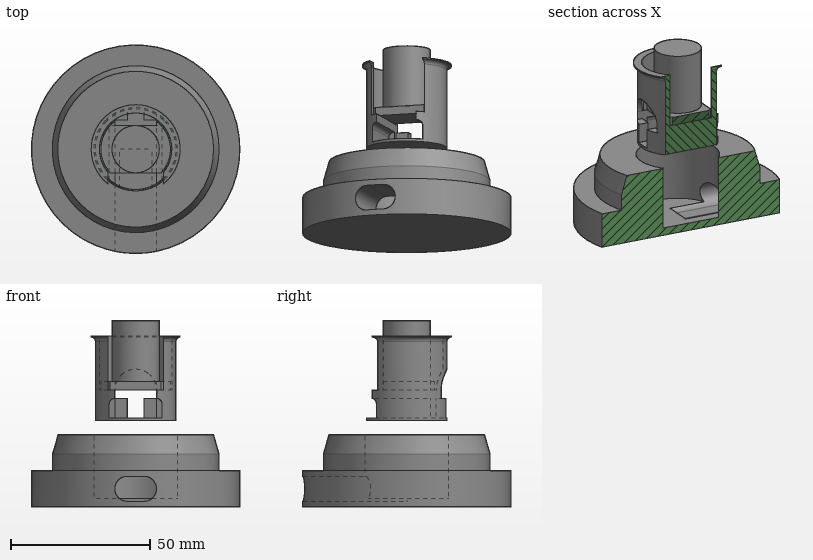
import cadquery as cq

BASE_DIA = 75.0
BASE_FLANGE_TOP = 13.0
COLLAR_DIA = 60.0
COLLAR_TOP = 19.0
CONE_TOP_DIA = 56.0
BASE_TOP = 26.0
WELL_DIA = 30.0
WELL_FLOOR = 3.0
SIDE_SLOT_WIDTH = 15.0
SIDE_SLOT_HEIGHT = 9.0
SIDE_SLOT_Z = BASE_FLANGE_TOP / 2

CUP_BOTTOM = 31.0
CUP_TOP = 61.5
CUP_DIA = 29.0
CUP_BORE_DIA = 26.0
CUP_FLOOR_THICKNESS = 1.0
CUP_FLOOR_TOP = CUP_BOTTOM + CUP_FLOOR_THICKNESS
SHELF_HEIGHT = 10.0
SHELF_TOP = CUP_FLOOR_TOP + SHELF_HEIGHT
LIP_DIA = 32.0
LIP_THICKNESS = 0.5
LIP_FILLET = (LIP_DIA - CUP_DIA) / 2

FRONT_SLOT_WIDTH = 20.0
CHANNEL_WIDTH = 15.0
CHANNEL_BACK_Y = 10.5
UNDERCUT_WIDTH = 19.0
UNDERCUT_HEIGHT = 7.0
UNDERCUT_TOP = CUP_FLOOR_TOP + UNDERCUT_HEIGHT
UNDERCUT_RADIUS = 2.0
UNDERCUT_BACK_Y = 8.5
BACK_SLOT_WIDTH = 6.0

BUTTON_DIA = 17.0
BUTTON_TOP = 67.0
PLATE_DIA = 25.0
PLATE_THICKNESS = 3.0
PLATE_FLAT_Y = BUTTON_DIA / 2

CUP_REACH = LIP_DIA
BASE_REACH = BASE_DIA


def block(width, y_min, y_max, z_min, z_max):
    """Box centred on X, given by its Y and Z limits."""
    return (
        cq.Workplane("XY", origin=(0, 0, z_min))
        .center(0, (y_min + y_max) / 2)
        .rect(width, y_max - y_min)
        .extrude(z_max - z_min)
    )


def cylinder(diameter, z_min, z_max):
    return cq.Workplane("XY", origin=(0, 0, z_min)).circle(diameter / 2).extrude(z_max - z_min)


def make_base():
    body = (
        cq.Workplane("XZ")
        .moveTo(0, 0)
        .lineTo(BASE_DIA / 2, 0)
        .lineTo(BASE_DIA / 2, BASE_FLANGE_TOP)
        .lineTo(COLLAR_DIA / 2, BASE_FLANGE_TOP)
        .lineTo(COLLAR_DIA / 2, COLLAR_TOP)
        .lineTo(CONE_TOP_DIA / 2, BASE_TOP)
        .lineTo(0, BASE_TOP)
        .close()
        .revolve(360, (0, 0, 0), (0, 1, 0))
    )
    well = cylinder(WELL_DIA, WELL_FLOOR, BASE_TOP)
    side_slot = (
        cq.Workplane("XZ", origin=(0, 0, SIDE_SLOT_Z))
        .slot2D(SIDE_SLOT_WIDTH, SIDE_SLOT_HEIGHT)
        .extrude(BASE_REACH)
    )
    return body.cut(well).cut(side_slot)


def flanged_cup_blank():
    """Cup of revolution: solid up to the shelf, bored above it, with a flared lip."""
    lip_underside = CUP_TOP - LIP_THICKNESS
    lip_start = lip_underside - LIP_FILLET
    blank = (
        cq.Workplane("XZ")
        .moveTo(0, CUP_BOTTOM)
        .lineTo(CUP_DIA / 2, CUP_BOTTOM)
        .lineTo(CUP_DIA / 2, lip_start)
        .radiusArc((LIP_DIA / 2, lip_underside), LIP_FILLET)
        .lineTo(LIP_DIA / 2, CUP_TOP)
        .lineTo(0, CUP_TOP)
        .close()
        .revolve(360, (0, 0, 0), (0, 1, 0))
    )
    return blank.cut(cylinder(CUP_BORE_DIA, SHELF_TOP, CUP_TOP))


def back_window():
    """Arched opening in the rear wall, with a narrow slot running down to the floor."""
    half_width = CHANNEL_WIDTH / 2
    arched_opening = (
        cq.Workplane("XZ")
        .moveTo(-half_width, UNDERCUT_TOP)
        .lineTo(half_width, UNDERCUT_TOP)
        .lineTo(half_width, SHELF_TOP)
        .threePointArc((0, SHELF_TOP + half_width), (-half_width, SHELF_TOP))
        .close()
        .extrude(-CUP_REACH)
    )
    slot = block(BACK_SLOT_WIDTH, 0, CUP_REACH, CUP_FLOOR_TOP, UNDERCUT_TOP)
    return arched_opening.union(slot)


def make_cup():
    front_slot = block(FRONT_SLOT_WIDTH, -CUP_REACH, 0, SHELF_TOP, CUP_TOP)
    channel = block(CHANNEL_WIDTH, -CUP_REACH, CHANNEL_BACK_Y, CUP_FLOOR_TOP, SHELF_TOP)
    undercut = (
        block(UNDERCUT_WIDTH, -CUP_REACH, UNDERCUT_BACK_Y, CUP_FLOOR_TOP, UNDERCUT_TOP)
        .edges("|Y and >Z")
        .fillet(UNDERCUT_RADIUS)
    )
    return flanged_cup_blank().cut(front_slot).cut(channel).cut(undercut).cut(back_window())


def make_plunger():
    plate_top = SHELF_TOP + PLATE_THICKNESS
    front_waste = block(PLATE_DIA, -PLATE_DIA, -PLATE_FLAT_Y, SHELF_TOP, plate_top)
    back_notch = block(CHANNEL_WIDTH, PLATE_FLAT_Y, PLATE_DIA, SHELF_TOP, plate_top)
    plate = cylinder(PLATE_DIA, SHELF_TOP, plate_top).cut(front_waste).cut(back_notch)
    return plate.union(cylinder(BUTTON_DIA, SHELF_TOP, BUTTON_TOP))


base = make_base()
cup = make_cup()
plunger = make_plunger()

result = cq.Compound.makeCompound([base.val(), cup.val(), plunger.val()])